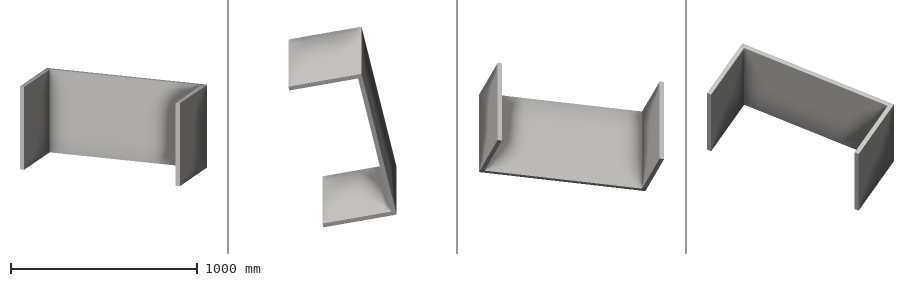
import cadquery as cq

width = 920.0
depth = 400.0
height = 460.0
panel_thickness = 25.0

outer_block = cq.Workplane("XY").box(width, depth, height)

inner_width = width - 2 * panel_thickness
inner_depth = depth - panel_thickness
inner_space = (
    cq.Workplane("XY")
    .box(inner_width, inner_depth, height)
    .translate((0, -panel_thickness / 2, 0))
)

result = outer_block.cut(inner_space)